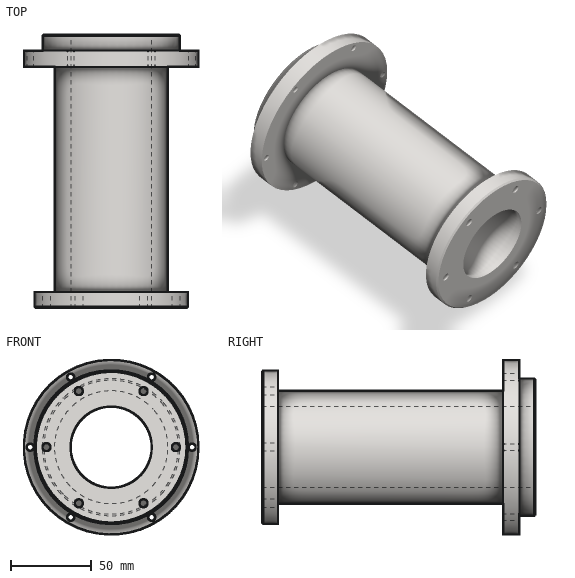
import cadquery as cq

total_length = 169.0
bore_diameter = 50.0
tube_diameter = 70.0

front_flange_diameter = 95.0
front_flange_thickness = 10.0
front_bolt_circle = 80.0
front_hole_diameter = 5.0

rear_flange_diameter = 108.0
rear_flange_thickness = 10.0
rear_bolt_circle = 100.0
rear_hole_diameter = 4.2
spigot_diameter = 85.0
spigot_length = 10.0

bolt_count = 6
edge_chamfer = 1.0

front_face = -total_length / 2
rear_face = total_length / 2
rear_flange_front = rear_face - spigot_length - rear_flange_thickness


def cylinder(diameter, start, length):
    """Solid cylinder along +Y beginning at the given Y station."""
    base = cq.Workplane("XZ", origin=(0, start, 0))
    return base.circle(diameter / 2).extrude(-length)


def bolt_holes(circle_diameter, hole_diameter, start, length):
    """Ring of equally spaced hole cutters, the first one on the X axis."""
    base = cq.Workplane("XZ", origin=(0, start, 0))
    ring = base.polarArray(circle_diameter / 2, 0, 360, bolt_count)
    return ring.circle(hole_diameter / 2).extrude(-length)


def make_front_flange():
    flange = cylinder(front_flange_diameter, front_face, front_flange_thickness)
    flange = flange.faces("<Y").chamfer(edge_chamfer)
    return flange.cut(
        bolt_holes(front_bolt_circle, front_hole_diameter, front_face, front_flange_thickness)
    )


def make_rear_flange():
    flange = cylinder(rear_flange_diameter, rear_flange_front, rear_flange_thickness)
    return flange.cut(
        bolt_holes(rear_bolt_circle, rear_hole_diameter, rear_flange_front, rear_flange_thickness)
    )


def make_spigot():
    spigot = cylinder(spigot_diameter, rear_face - spigot_length, spigot_length)
    return spigot.faces(">Y").chamfer(edge_chamfer)


tube = cylinder(tube_diameter, front_face, total_length - spigot_length)
body = tube.union(make_front_flange()).union(make_rear_flange()).union(make_spigot())
result = body.cut(cylinder(bore_diameter, front_face, total_length))